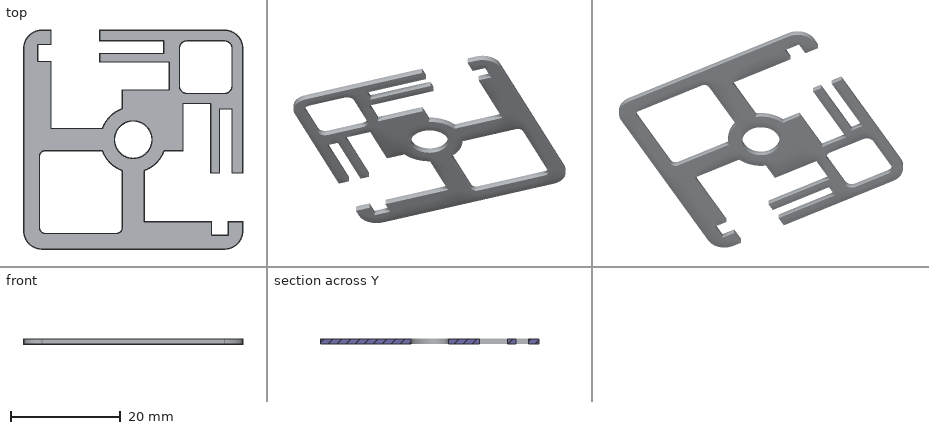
import cadquery as cq

side = 40.0
thickness = 1.0
corner_radius = 3.4
half = side / 2

hub_radius = 6.0
bore_radius = 3.4
spoke_half_width = 2.05
block_reach = 9.1

bar_inner = half - 5.05
notch_floor = half - 2.6
notch_outer = half - 2.7
notch_width = 3.05

finger_tip = 6.1
outer_finger_width = 2.0
slot_width = 2.25
inner_finger_width = 1.65
slot_end = 5.55
bay_end = 6.55
slot_outer = half - outer_finger_width
slot_inner = slot_outer - slot_width
finger_inner = slot_inner - inner_finger_width

small_window = 9.55
small_window_radius = 1.35
large_window_outer = half - 2.9
large_window_radius = 1.0


def rectangle(x_min, x_max, y_min, y_max):
    """Block through the full plate thickness."""
    return (
        cq.Workplane("XY")
        .center((x_min + x_max) / 2, (y_min + y_max) / 2)
        .rect(x_max - x_min, y_max - y_min)
        .extrude(thickness)
    )


def square_window(start, end, radius):
    """Rounded square on the diagonal, spanning start to end on both axes."""
    return rectangle(start, end, start, end).edges("|Z").fillet(radius)


def upper_left_bay():
    """Open bay with the hook notch and the slot between the fingers."""
    bay = (
        cq.Workplane("XY")
        .moveTo(-bar_inner, half)
        .lineTo(-bar_inner, spoke_half_width)
        .lineTo(-spoke_half_width, spoke_half_width)
        .lineTo(-spoke_half_width, block_reach)
        .lineTo(bay_end, block_reach)
        .lineTo(bay_end, finger_inner)
        .lineTo(-finger_tip, finger_inner)
        .lineTo(-finger_tip, half)
        .close()
        .extrude(thickness)
    )
    notch = rectangle(-notch_floor, -bar_inner, notch_outer - notch_width, notch_outer)
    slot = rectangle(-finger_tip, slot_end, slot_inner, slot_outer)
    return bay.union(notch).union(slot)


def swap_x_and_y(body):
    """Reflect a through-cut in the plate diagonal y = x."""
    return body.rotate((0, 0, 0), (0, 0, 1), 90).mirror("YZ")


plate = rectangle(-half, half, -half, half).edges("|Z").fillet(corner_radius)

bay = upper_left_bay()
plate = plate.cut(bay).cut(swap_x_and_y(bay))

plate = plate.cut(square_window(slot_outer - small_window, slot_outer, small_window_radius))
plate = plate.cut(square_window(-large_window_outer, -spoke_half_width, large_window_radius))

hub = cq.Workplane("XY").circle(hub_radius).extrude(thickness)
bore = cq.Workplane("XY").circle(bore_radius).extrude(thickness)
result = plate.union(hub).cut(bore)